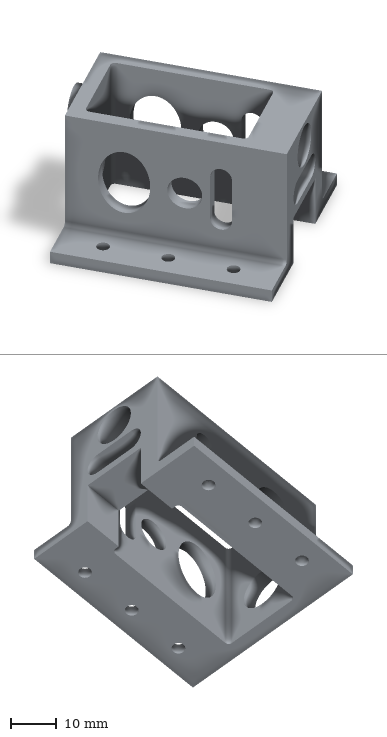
import cadquery as cq

total_length = 53.0
base_width = 48.0
height = 32.0
boss_length = 2.0
body_length = total_length - boss_length
body_width = 26.0
flange_thickness = 3.0
blend_radius = 1.0

front_wall = 3.6
rear_wall = 10.0
pocket_width = 20.0
pocket_length = body_length - front_wall - rear_wall

flange_hole_diameter = 3.0
flange_hole_pitch = 15.0
flange_hole_y = 18.55

side_opening_z = 17.0
side_opening_height = 16.0
oval_x = 13.6
oval_width = 12.0
side_hole_x = 27.55
side_hole_diameter = 8.0
side_slot_x = 35.9
side_slot_width = 5.0

boss_diameter = 10.0
boss_z = height - boss_diameter / 2 - blend_radius
end_hole_diameter = 11.0
end_hole_y = 0.15
end_hole_z = 11.5
rear_hole_diameter = 6.0
rear_lip = 2.0
socket_diameter = boss_diameter
rear_slot_height = 6.0
rear_slot_length = 16.0
rear_slot_bar = 2.0
slot_z = side_opening_z
notch_width = rear_slot_length
notch_height = slot_z - rear_slot_height / 2 - rear_slot_bar

body_start = boss_length
body_middle = body_start + body_length / 2
pocket_start = body_start + front_wall
pocket_end = pocket_start + pocket_length


def end_plane(x):
    """Plane facing +X, with local x along Y and local y along Z."""
    return cq.Workplane("YZ", origin=(x, 0, 0))


def make_body():
    flange = cq.Workplane("XY").box(body_length, base_width, flange_thickness, centered=(True, True, False))
    block = cq.Workplane("XY").box(body_length, body_width, height, centered=(True, True, False))
    body = flange.union(block).translate((body_middle, 0, 0))
    for side in (-1, 1):
        corner = (body_middle, side * body_width / 2, flange_thickness)
        body = body.edges(cq.selectors.NearestToPointSelector(corner)).fillet(blend_radius)
    return body


def make_boss():
    """Round boss whose root flares out to the end wall with a concave quarter circle."""
    radius = boss_diameter / 2
    fillet_start = body_start - blend_radius
    fillet_middle = blend_radius * (1 - 0.5 ** 0.5)
    profile = (
        cq.Workplane("XY")
        .lineTo(0, radius)
        .lineTo(fillet_start, radius)
        .threePointArc(
            (body_start - fillet_middle, radius + fillet_middle),
            (body_start, radius + blend_radius),
        )
        .lineTo(body_start, 0)
        .close()
    )
    return profile.revolve(360, (0, 0, 0), (1, 0, 0)).translate((0, 0, boss_z))


def make_pocket():
    pocket = cq.Workplane("XY").box(pocket_length, pocket_width, height, centered=(False, True, False))
    return pocket.edges("|Z").fillet(blend_radius).translate((pocket_start, 0, 0))


def make_flange_holes():
    centres = [
        (body_middle + step * flange_hole_pitch, side * flange_hole_y)
        for step in (-1, 0, 1)
        for side in (-1, 1)
    ]
    return cq.Workplane("XY").pushPoints(centres).circle(flange_hole_diameter / 2).extrude(flange_thickness)


def make_side_openings():
    """Oval, round hole and upright slot, each through both side walls."""
    side = cq.Workplane("XZ", origin=(body_start, 0, side_opening_z))
    depth = body_width / 2
    oval = side.center(oval_x, 0).ellipse(oval_width / 2, side_opening_height / 2).extrude(depth, both=True)
    hole = side.center(side_hole_x, 0).circle(side_hole_diameter / 2).extrude(depth, both=True)
    slot = side.center(side_slot_x, 0).slot2D(side_opening_height, side_slot_width, 90)
    return oval.union(hole).union(slot.extrude(depth, both=True))


def make_end_hole():
    return end_plane(body_start).center(end_hole_y, end_hole_z).circle(end_hole_diameter / 2).extrude(front_wall)


def make_rear_openings():
    """Stepped hole in line with the boss, above a level slot and a notch open at the underside."""
    inner = end_plane(pocket_end)
    hole = inner.center(0, boss_z).circle(rear_hole_diameter / 2).extrude(rear_wall)
    socket = end_plane(pocket_end + rear_lip).center(0, boss_z).circle(socket_diameter / 2)
    slot = inner.center(0, slot_z).slot2D(rear_slot_length, rear_slot_height).extrude(rear_wall)
    notch = cq.Workplane("XY").box(rear_wall, notch_width, notch_height, centered=(False, True, False))
    notch = notch.translate((pocket_end, 0, 0))
    return hole.union(socket.extrude(rear_wall - rear_lip)).union(slot).union(notch)


result = (
    make_body()
    .union(make_boss())
    .cut(make_pocket())
    .cut(make_flange_holes())
    .cut(make_side_openings())
    .cut(make_end_hole())
    .cut(make_rear_openings())
)